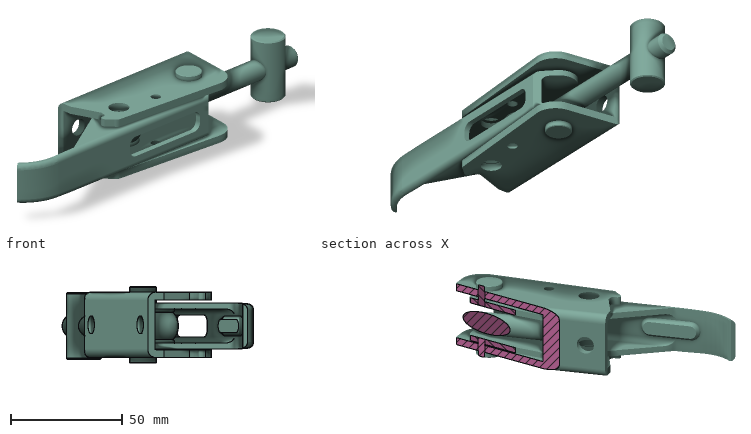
import cadquery as cq
import math

ASSEMBLY_ANGLE = 21.5
BIG = 340.1

BASE_X = -21.8
HOUSING_HALF_Z = 14.71
HOUSING_WALL = 3.5
BEND_R = 3.7
BASE_END_R = 2.5
HOUSING_FOOT_Y = -61.2
HOUSING_CORNER_R = 10.0
BASE_HOLE_D = 8.0
BASE_HOLE_YS = (8.3, -51.9)

CROSS_HOLES = ((5.6, -26.4, 4.8), (2.0, -46.3, 9.5))

LEVER_Z = -0.5

RIVET_D = 12.0
RIVET_HALF_Z = 17.26
RIVET_CHAMFER = 0.3

ROD_X = -6.38
ROD_D = 10.0
ROD_END_Y = 71.8
ROD_CHAMFER = 1.4
BALL_Y = -35.2
BALL_D = 18.0
BALL_FLAT_HALF_Z = 6.1
TBAR_Y = 56.5
TBAR_D = 15.8
TBAR_LENGTH = 30.0
TBAR_CHAMFER = 0.5

LEVER_BACK_X = 13.8
LEVER_HALF_Z = 10.4
LEVER_WALL = 2.7
LEVER_OUTER_R = 2.5
LEVER_INNER_R = 2.5
LOBE_R = 10.0
HEAD_R = 8.8
PLATE_EDGE_R = 2.5
PLATE_EDGE_ANGLE = 31.0
TAPER_Y = -87.5
TIP_HALF_Z = 9.7
CURL_Y = -96.0
CURL_R = 24.1
CURL_ANGLE = 48.6
TIP_CHAMFER = 0.5
WINDOW_YS = (-50.8, -6.5)
WINDOW_WIDTH = 9.7
WINDOW_R = 3.7
RIB_YS = (-95.9, -68.0)
RIB_WIDTH = 8.8
RIB_HEIGHT = 2.0
RIB_DRAFT = 35.0

PIN_D = 8.0
COLLAR_D = 14.6
COLLAR_FILLET = 1.2

lever_inner_half_z = LEVER_HALF_Z - LEVER_WALL
lever_inner_x = LEVER_BACK_X - LEVER_WALL


def upright_cylinder(x, y, diameter, z_low, z_high):
    return cq.Workplane("XY", origin=(x, y, z_low)).circle(diameter / 2).extrude(z_high - z_low)


def cross_hole(x, y, diameter):
    return upright_cylinder(x, y, diameter, -BIG / 2, BIG / 2)


def make_housing():
    head_corner = (16.3, 13.6)
    base_corner = (BASE_X, 18.7)
    plan = (
        cq.Workplane("XY", origin=(0, 0, -HOUSING_HALF_Z))
        .moveTo(BASE_X, HOUSING_FOOT_Y)
        .lineTo(-14.0, HOUSING_FOOT_Y)
        .lineTo(0.5, -56.0)
        .lineTo(2.5, -56.3)
        .threePointArc((3.7, -57.0), (3.9, -58.3))
        .lineTo(3.9, -58.8)
        .threePointArc((4.5, -59.9), (5.5, -60.2))
        .lineTo(6.6, -59.9)
        .lineTo(10.0, -56.8)
        .threePointArc((11.0, -56.0), (11.4, -54.8))
        .lineTo(*head_corner)
        .lineTo(*base_corner)
        .close()
        .extrude(2 * HOUSING_HALF_Z)
    )
    plan = plan.edges(cq.NearestToPointSelector((*head_corner, 0))).fillet(HOUSING_CORNER_R)
    plan = plan.edges(cq.NearestToPointSelector((*base_corner, 0))).fillet(BASE_END_R)

    channel = (
        cq.Workplane("XY")
        .box(BIG, BIG, 2 * HOUSING_HALF_Z)
        .translate((BASE_X + BIG / 2, 0, 0))
        .edges("|Y and <X")
        .fillet(BEND_R)
    )
    inside = (
        cq.Workplane("XY")
        .box(BIG, BIG, 2 * (HOUSING_HALF_Z - HOUSING_WALL))
        .translate((BASE_X + HOUSING_WALL + BIG / 2, 0, 0))
    )
    body = plan.intersect(channel.cut(inside))

    for y in BASE_HOLE_YS:
        body = body.cut(
            cq.Workplane("YZ", origin=(BASE_X, y, 0)).circle(BASE_HOLE_D / 2).extrude(HOUSING_WALL)
        )
    for x, y, diameter in CROSS_HOLES:
        body = body.cut(cross_hole(x, y, diameter))
    return body.cut(cross_hole(0, 0, RIVET_D))


def make_lever_block():
    """Solid lever shape before it is hollowed: side plates, handle and curled tip."""
    curl_x = LEVER_BACK_X - CURL_R
    curl_inner_r = CURL_R - LEVER_WALL

    def curl_point(radius, angle):
        turn = math.radians(angle)
        return (curl_x + radius * math.cos(turn), CURL_Y - radius * math.sin(turn))

    def lobe_point(angle):
        return (ROD_X - LOBE_R * math.cos(angle), BALL_Y - LOBE_R * math.sin(angle))

    def head_point(angle):
        return (-HEAD_R * math.cos(angle), -HEAD_R * math.sin(angle))

    slope = math.radians(PLATE_EDGE_ANGLE)
    edge_x, edge_y = lobe_point(slope)
    edge_end = (lever_inner_x, edge_y - (lever_inner_x - edge_x) / math.tan(slope))

    line_of_centres = math.atan2(-ROD_X, -BALL_Y)
    tangent_turn = math.asin((LOBE_R - HEAD_R) / math.hypot(ROD_X, BALL_Y))
    side_slope = -line_of_centres - tangent_turn

    head_end = -3 * math.pi / 4
    back_start_y = HEAD_R * math.sqrt(2) - LEVER_BACK_X

    block = (
        cq.Workplane("XY", origin=(0, 0, -LEVER_HALF_Z))
        .moveTo(LEVER_BACK_X, back_start_y)
        .lineTo(LEVER_BACK_X, CURL_Y)
        .threePointArc(curl_point(CURL_R, CURL_ANGLE / 2), curl_point(CURL_R, CURL_ANGLE))
        .lineTo(*curl_point(curl_inner_r, CURL_ANGLE))
        .threePointArc(curl_point(curl_inner_r, CURL_ANGLE / 2), (lever_inner_x, CURL_Y))
        .lineTo(*edge_end)
        .lineTo(*lobe_point(slope))
        .threePointArc(lobe_point((slope + side_slope) / 2), lobe_point(side_slope))
        .lineTo(*head_point(side_slope))
        .threePointArc(head_point((side_slope + head_end) / 2), head_point(head_end))
        .close()
        .extrude(2 * LEVER_HALF_Z)
    )

    tip_y = curl_point(CURL_R, CURL_ANGLE)[1]
    taper = (
        cq.Workplane("YZ", origin=(-BIG / 2, 0, 0))
        .polyline([
            (HEAD_R, -LEVER_HALF_Z),
            (HEAD_R, LEVER_HALF_Z),
            (TAPER_Y, LEVER_HALF_Z),
            (tip_y, TIP_HALF_Z),
            (tip_y, -TIP_HALF_Z),
            (TAPER_Y, -LEVER_HALF_Z),
        ])
        .close()
        .extrude(BIG)
    )
    block = block.edges(cq.NearestToPointSelector((*edge_end, 0))).fillet(PLATE_EDGE_R)
    block = block.intersect(taper)
    tip_edge = (*curl_point(curl_inner_r, CURL_ANGLE), 0)
    block = block.edges(cq.NearestToPointSelector(tip_edge)).chamfer(TIP_CHAMFER)

    curl_mid = curl_point(CURL_R, CURL_ANGLE / 2)
    edge_spots = ((LEVER_BACK_X, BALL_Y), (LEVER_BACK_X, (TAPER_Y + CURL_Y) / 2), curl_mid)
    edges = []
    for x, y in edge_spots:
        for z in (-LEVER_HALF_Z, LEVER_HALF_Z):
            edges += block.edges(cq.NearestToPointSelector((x, y, z))).vals()
    return block.newObject(edges).fillet(LEVER_OUTER_R)


def make_lever():
    body = make_lever_block()
    hollow = (
        cq.Workplane("XY")
        .box(BIG, BIG, 2 * lever_inner_half_z)
        .translate((lever_inner_x - BIG / 2, 0, 0))
        .edges("|Y and >X")
        .fillet(LEVER_INNER_R)
    )
    keep_tip = cq.Workplane("XY").box(BIG, BIG, BIG).translate((0, TAPER_Y + BIG / 2, 0))
    body = body.cut(hollow.intersect(keep_tip))

    window_length = WINDOW_YS[1] - WINDOW_YS[0]
    window = (
        cq.Workplane("XY")
        .box(2 * LEVER_WALL, window_length, WINDOW_WIDTH)
        .edges("|X")
        .fillet(WINDOW_R)
        .translate((LEVER_BACK_X - LEVER_WALL / 2, WINDOW_YS[0] + window_length / 2, 0))
    )
    body = body.cut(window)

    rib_length = RIB_YS[1] - RIB_YS[0]
    rib = (
        cq.Workplane("YZ", origin=(lever_inner_x, RIB_YS[0] + rib_length / 2, 0))
        .slot2D(rib_length, RIB_WIDTH)
        .extrude(-RIB_HEIGHT, taper=RIB_DRAFT)
    )
    body = body.union(rib)

    for x, y, diameter in CROSS_HOLES + ((0, 0, RIVET_D), (ROD_X, BALL_Y, PIN_D)):
        body = body.cut(cross_hole(x, y, diameter))
    return body.translate((0, 0, LEVER_Z))


def make_rivet(side):
    """One of the two pivot rivets, on the +Z side (side = 1) or the -Z side (side = -1)."""
    inner_z = lever_inner_half_z + side * LEVER_Z
    rivet = (
        upright_cylinder(0, 0, RIVET_D, inner_z, RIVET_HALF_Z).faces(">Z").chamfer(RIVET_CHAMFER)
    )
    if side < 0:
        rivet = rivet.mirror("XY")
    return rivet


def rod_shaft(start_y):
    return (
        cq.Workplane("XZ", origin=(ROD_X, start_y, 0)).circle(ROD_D / 2).extrude(start_y - ROD_END_Y)
    )


def make_rod():
    shaft = rod_shaft(BALL_Y).faces(">Y").chamfer(ROD_CHAMFER)
    flats = cq.Workplane("XY").box(BALL_D, BALL_D, 2 * BALL_FLAT_HALF_Z)
    ball = cq.Workplane("XY").sphere(BALL_D / 2).intersect(flats).translate((ROD_X, BALL_Y, 0))
    body = shaft.union(ball).cut(cross_hole(ROD_X, BALL_Y, PIN_D))
    return body.translate((0, 0, LEVER_Z))


def make_tbar():
    half = TBAR_LENGTH / 2
    body = upright_cylinder(ROD_X, TBAR_Y, TBAR_D, -half, half).faces("|Z").chamfer(TBAR_CHAMFER)
    return body.cut(rod_shaft(BALL_Y)).translate((0, 0, LEVER_Z))


def make_rod_pin():
    """Pin through the ball and both side plates, with a collar on each side of the ball."""
    body = upright_cylinder(ROD_X, BALL_Y, PIN_D, -LEVER_HALF_Z, LEVER_HALF_Z)
    collar = (
        upright_cylinder(ROD_X, BALL_Y, COLLAR_D, BALL_FLAT_HALF_Z, lever_inner_half_z)
        .faces("<Z")
        .edges()
        .fillet(COLLAR_FILLET)
    )
    return body.union(collar).union(collar.mirror("XY")).translate((0, 0, LEVER_Z))


def placed(body):
    return body.rotate((0, 0, 0), (0, 0, 1), ASSEMBLY_ANGLE).val()


housing = make_housing()
lever = make_lever()
rod = make_rod()
tbar = make_tbar()
rod_pin = make_rod_pin()
rivets = [make_rivet(side) for side in (1, -1)]

result = cq.Compound.makeCompound([placed(body) for body in [housing, lever, rod, tbar, rod_pin, *rivets]])